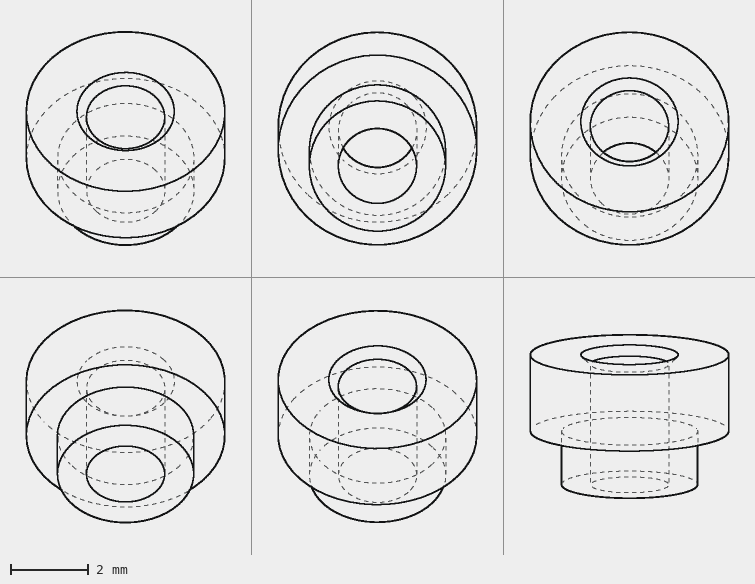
import cadquery as cq

head_diameter = 5.1
shank_diameter = 3.5
bore_diameter = 2.01
countersink_diameter = 2.5

total_height = 3.4
head_height = 2.0
shank_height = total_height - head_height

countersink_depth = (countersink_diameter - bore_diameter) / 2

shank = cq.Workplane("XY").circle(shank_diameter / 2).extrude(shank_height)
head = (
    cq.Workplane("XY")
    .workplane(offset=shank_height)
    .circle(head_diameter / 2)
    .extrude(head_height)
)
body = shank.union(head)

bored_body = body.cut(cq.Workplane("XY").circle(bore_diameter / 2).extrude(total_height))

result = bored_body.faces(">Z").edges(cq.selectors.RadiusNthSelector(0)).chamfer(countersink_depth)